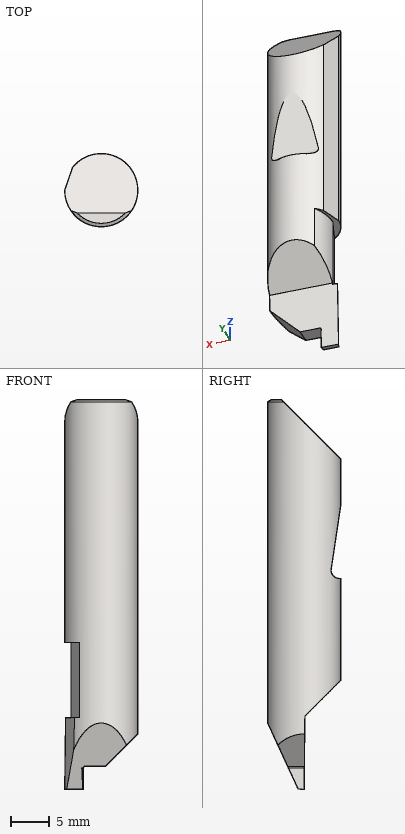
import cadquery as cq
import math

LENGTH = 50.8
RADIUS = 4.8
REACH = 2 * RADIUS

TOP_CHAMFER_HEIGHT = 0.3
TOP_CHAMFER_WIDTH = 0.45
TOP_BEVEL_START_Y = -2.95

NOTCH_TOP_Z = 37.1
NOTCH_DEEP_Y = 3.5
NOTCH_DEEP_Z = 28.6
NOTCH_BOTTOM_Z = 27.55
NOTCH_FLOOR_RADIUS = NOTCH_DEEP_Z - NOTCH_BOTTOM_Z

FLAT_EDGE_Y = 2.95
RELIEF_TOP_Z = 19.15
RELIEF_BOTTOM_Z = 9.4
RELIEF_RIDGE_X = -3.95
RELIEF_EDGE_Y = 3.85

RAKE_TOP_Y = 0.1
BACK_BEVEL_TOP_Z = 14.3
SIDE_CLEARANCE_TOP_X = -4.6
SIDE_CLEARANCE_SLOPE = 0.35
FRONT_CLEARANCE_TOP_Z = 8.7
TIP_THICKNESS = 0.8
TIP_HEEL_Z = 0.1
TIP_RIGHT_X = -2.35
TIP_RIGHT_SLOPE = 0.1
SHOULDER_Z = 3.05
SHOULDER_END_X = 0.55
SHOULDER_FILLET = 0.2


def circle_x(y):
    """X of the -X side of the shank circle at a given Y."""
    return -math.sqrt(RADIUS**2 - y**2)


def yz_prism(points):
    """Prism along X through the whole shank."""
    return cq.Workplane("YZ").polyline(points).close().extrude(REACH, both=True)


def shank():
    body = cq.Workplane("XY").circle(RADIUS).extrude(LENGTH)
    return body.faces(">Z").chamfer(TOP_CHAMFER_HEIGHT, TOP_CHAMFER_WIDTH)


def top_bevel():
    size = 2 * REACH
    return yz_prism([
        (TOP_BEVEL_START_Y, LENGTH),
        (TOP_BEVEL_START_Y + size, LENGTH - size),
        (TOP_BEVEL_START_Y + size, LENGTH),
    ])


def clamping_notch():
    quarter = NOTCH_FLOOR_RADIUS * (1 - math.sqrt(0.5))
    return (
        cq.Workplane("YZ")
        .moveTo(RADIUS, NOTCH_TOP_Z)
        .lineTo(NOTCH_DEEP_Y, NOTCH_DEEP_Z)
        .threePointArc(
            (NOTCH_DEEP_Y + quarter, NOTCH_BOTTOM_Z + quarter),
            (NOTCH_DEEP_Y + NOTCH_FLOOR_RADIUS, NOTCH_BOTTOM_Z),
        )
        .lineTo(REACH, NOTCH_BOTTOM_Z)
        .lineTo(REACH, NOTCH_TOP_Z)
        .close()
        .extrude(REACH, both=True)
    )


def long_flat():
    return (
        cq.Workplane("XY")
        .moveTo(-RADIUS, 0)
        .lineTo(circle_x(FLAT_EDGE_Y), FLAT_EDGE_Y)
        .lineTo(-REACH, FLAT_EDGE_Y)
        .lineTo(-REACH, 0)
        .close()
        .extrude(LENGTH)
    )


def side_relief():
    """Convex arc on the +Y half and a flat on the -Y half, meeting at a ridge."""
    edge_x = circle_x(RELIEF_EDGE_Y)
    depth = edge_x - RELIEF_RIDGE_X
    arc_radius = (RELIEF_EDGE_Y**2 + depth**2) / (2 * depth)
    mid_y = RELIEF_EDGE_Y / 2
    mid_x = RELIEF_RIDGE_X + arc_radius - math.sqrt(arc_radius**2 - mid_y**2)
    return (
        cq.Workplane("XY", origin=(0, 0, RELIEF_BOTTOM_Z))
        .moveTo(edge_x, RELIEF_EDGE_Y)
        .threePointArc((mid_x, mid_y), (RELIEF_RIDGE_X, 0))
        .lineTo(edge_x, -RELIEF_EDGE_Y)
        .lineTo(-REACH, -RELIEF_EDGE_Y)
        .lineTo(-REACH, RELIEF_EDGE_Y)
        .close()
        .extrude(RELIEF_TOP_Z - RELIEF_BOTTOM_Z)
    )


def rake_face():
    """Removes the +Y half beside the tip, below a 45 degree bevel."""
    bevel_foot_z = BACK_BEVEL_TOP_Z - (RADIUS - RAKE_TOP_Y)
    return yz_prism([
        (0, 0),
        (RAKE_TOP_Y, bevel_foot_z),
        (RADIUS, BACK_BEVEL_TOP_Z),
        (REACH, BACK_BEVEL_TOP_Z),
        (REACH, 0),
    ])


def front_clearance():
    """Slopes the -Y side down to the thin heel of the tip."""
    return yz_prism([
        (0, 0),
        (-TIP_THICKNESS, TIP_HEEL_Z),
        (-RADIUS, FRONT_CLEARANCE_TOP_Z),
        (-REACH, FRONT_CLEARANCE_TOP_Z),
        (-REACH, 0),
    ])


def side_clearance():
    """Flank behind the side cutting edge, leaning slightly inward with height."""
    def section(z, edge_x):
        rise = SIDE_CLEARANCE_SLOPE * REACH
        corners = [
            (edge_x - rise, REACH),
            (edge_x + rise, -REACH),
            (-2 * REACH, -REACH),
            (-2 * REACH, REACH),
        ]
        return cq.Wire.makePolygon([cq.Vector(x, y, z) for x, y in corners], close=True)

    sections = [section(0, -RADIUS), section(RELIEF_BOTTOM_Z, SIDE_CLEARANCE_TOP_X)]
    return cq.Workplane(cq.Solid.makeLoft(sections, True))


def shoulder():
    """Clears the space right of the tip, with a 45 degree slope up to the shank."""
    slope_run = REACH - SHOULDER_END_X
    corner = SHOULDER_FILLET * (1 - math.sqrt(0.5))
    profile = (
        cq.Workplane("XZ")
        .moveTo(TIP_RIGHT_X, 0)
        .lineTo(TIP_RIGHT_X, SHOULDER_Z - SHOULDER_FILLET)
        .threePointArc(
            (TIP_RIGHT_X + corner, SHOULDER_Z - corner),
            (TIP_RIGHT_X + SHOULDER_FILLET, SHOULDER_Z),
        )
        .lineTo(SHOULDER_END_X, SHOULDER_Z)
        .lineTo(REACH, SHOULDER_Z + slope_run)
        .lineTo(REACH, 0)
        .close()
    )
    return profile.extrude(REACH, both=True)


def tip_right_clearance():
    """Tapers the right side of the tip inward away from the rake face."""
    return (
        cq.Workplane("XY")
        .moveTo(TIP_RIGHT_X, 0)
        .lineTo(TIP_RIGHT_X - TIP_RIGHT_SLOPE * RADIUS, -RADIUS)
        .lineTo(TIP_RIGHT_X, -RADIUS)
        .close()
        .extrude(SHOULDER_Z - SHOULDER_FILLET)
    )


result = shank()
for cutter in (
    top_bevel(),
    clamping_notch(),
    long_flat(),
    side_relief(),
    rake_face(),
    front_clearance(),
    side_clearance(),
    shoulder(),
    tip_right_clearance(),
):
    result = result.cut(cutter)